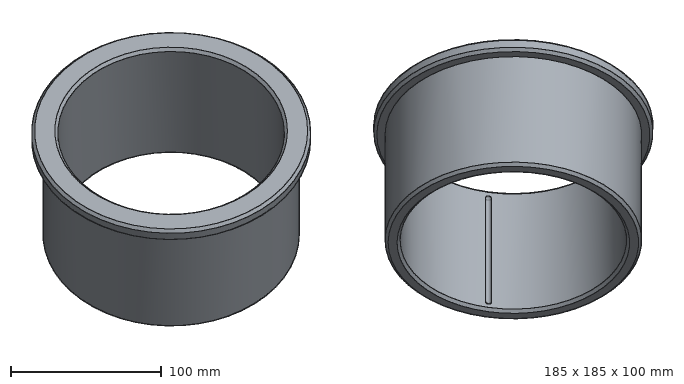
import cadquery as cq

flange_diameter = 185.0
body_diameter = 170.0
bore_diameter = 150.0
height = 100.0
flange_thickness = 10.0

chamfer = 2.0

flange_radius = flange_diameter / 2
body_radius = body_diameter / 2
bore_radius = bore_diameter / 2
flange_bottom = height - flange_thickness

half_section = (
    cq.Workplane("XZ")
    .moveTo(bore_radius, chamfer)
    .lineTo(bore_radius + chamfer, 0)
    .lineTo(body_radius - chamfer, 0)
    .lineTo(body_radius, chamfer)
    .lineTo(body_radius, flange_bottom)
    .lineTo(flange_radius - chamfer, flange_bottom)
    .lineTo(flange_radius, flange_bottom + chamfer)
    .lineTo(flange_radius, height - chamfer)
    .lineTo(flange_radius - chamfer, height)
    .lineTo(bore_radius + chamfer, height)
    .lineTo(bore_radius, height - chamfer)
    .close()
)

bushing = half_section.revolve(360, (0, 0, 0), (0, 1, 0))

groove_radius = 2.0
groove_end_margin = 5.0
groove_low_center = groove_end_margin + groove_radius
groove_high_center = height - groove_low_center

groove = (
    cq.Workplane("XY")
    .workplane(offset=groove_low_center)
    .center(bore_radius, 0)
    .circle(groove_radius)
    .extrude(groove_high_center - groove_low_center)
)
for end_center in (groove_low_center, groove_high_center):
    ball_end = cq.Workplane("XY").sphere(groove_radius).translate((bore_radius, 0, end_center))
    groove = groove.union(ball_end)

result = bushing.cut(groove)